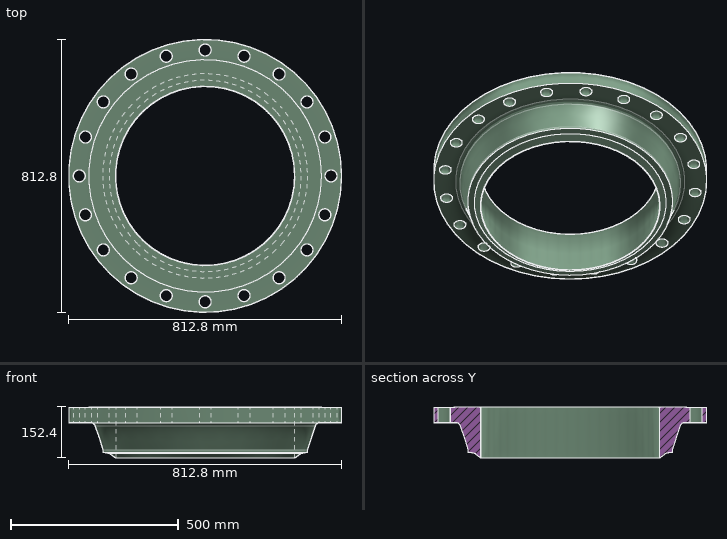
import cadquery as cq
import math

flange_diameter = 812.8
total_height = 152.4
flange_thickness = 47.6
raised_face_diameter = 692.15
raised_face_height = 1.6

neck_diameter = 609.6
pipe_wall = 38.9
bore_diameter = neck_diameter - 2 * pipe_wall

hub_base_diameter = 663.0
hub_fillet_radius = 13.0

root_land_width = 1.6
inner_bevel_height = 13.5
inner_bevel_width = 18.0
outer_bevel_angle = 10.0
neck_straight_length = 7.0

match_tolerance = 0.001

bolt_count = 20
bolt_circle_diameter = 749.3
bolt_hole_diameter = 35.0


def make_body():
    """Revolve the half section of the flange, hub and bevelled neck around Z."""
    bore_radius = bore_diameter / 2
    neck_radius = neck_diameter / 2
    hub_base_radius = hub_base_diameter / 2
    flange_radius = flange_diameter / 2
    raised_face_radius = raised_face_diameter / 2

    land_radius = bore_radius + root_land_width
    bevel_break_radius = land_radius + inner_bevel_width
    outer_bevel_height = (neck_radius - bevel_break_radius) * math.tan(math.radians(outer_bevel_angle))
    neck_start_z = inner_bevel_height + outer_bevel_height
    neck_end_z = neck_start_z + neck_straight_length
    flange_bottom_z = total_height - flange_thickness
    flange_top_z = total_height - raised_face_height

    section = (
        cq.Workplane("XZ")
        .moveTo(bore_radius, 0)
        .lineTo(land_radius, 0)
        .lineTo(bevel_break_radius, inner_bevel_height)
        .lineTo(neck_radius, neck_start_z)
        .lineTo(neck_radius, neck_end_z)
        .lineTo(hub_base_radius, flange_bottom_z)
        .lineTo(flange_radius, flange_bottom_z)
        .lineTo(flange_radius, flange_top_z)
        .lineTo(raised_face_radius, flange_top_z)
        .lineTo(raised_face_radius, total_height)
        .lineTo(bore_radius, total_height)
        .close()
    )
    body = section.revolve(360, (0, 0, 0), (0, 1, 0))
    base_edges = body.edges("%CIRCLE").filter(
        lambda edge: abs(edge.Center().z - flange_bottom_z) < match_tolerance
        and abs(edge.radius() - hub_base_radius) < match_tolerance
    )
    return base_edges.fillet(hub_fillet_radius)


def drill_bolt_holes(body):
    """Cut the ring of through bolt holes, the first one on the +X axis."""
    holes = (
        cq.Workplane("XY")
        .polarArray(bolt_circle_diameter / 2, 0, 360, bolt_count)
        .circle(bolt_hole_diameter / 2)
        .extrude(total_height)
    )
    return body.cut(holes)


result = drill_bolt_holes(make_body())